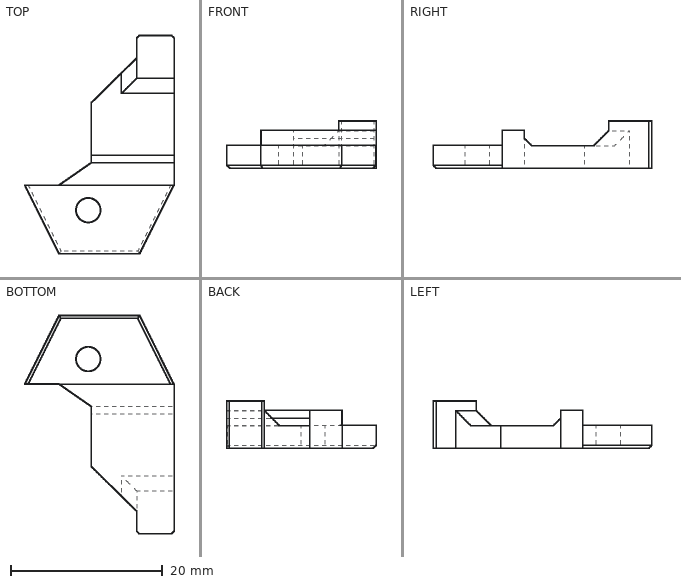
import cadquery as cq

plate_width = 19.7
plate_depth = 9.08
plate_height = 3.1
plate_inset = 4.53
rim_chamfer = 0.4
hole_diameter = 3.2
hole_x = 8.4
hole_y = 5.77

arm_right = 19.75
arm_left = 8.77
arm_height = 3.0
wall_back = 12.03
wall_height = 5.05
wall_left = plate_inset
wall_bevel = 0.98
slab_corner_y = 19.93
slab_end_y = 25.85
post_left = 14.77
post_front = 23.15
post_back = 28.85
post_height = 6.3
post_chamfer = 0.37
gusset_height = 5.0
gusset_run = gusset_height - arm_height


def make_plate():
    plate = (
        cq.Workplane("XY")
        .polyline([
            (plate_inset, 0),
            (plate_width - plate_inset, 0),
            (plate_width, plate_depth),
            (0, plate_depth),
        ])
        .close()
        .extrude(plate_height)
    )
    back_edge = cq.selectors.NearestToPointSelector((plate_width / 2, plate_depth, 0))
    rim = plate.faces("<Z").edges(cq.selectors.SubtractSelector(
        cq.selectors.TypeSelector("LINE"), back_edge))
    plate = rim.chamfer(rim_chamfer)
    hole = (
        cq.Workplane("XY")
        .center(hole_x, hole_y)
        .circle(hole_diameter / 2)
        .extrude(plate_height)
    )
    return plate.cut(hole)


def make_slab():
    return (
        cq.Workplane("XY")
        .polyline([
            (arm_left, wall_back),
            (arm_right, wall_back),
            (arm_right, slab_end_y),
            (post_left, slab_end_y),
            (arm_left, slab_corner_y),
        ])
        .close()
        .extrude(arm_height)
    )


def make_wall():
    wall = (
        cq.Workplane("XY")
        .polyline([
            (wall_left, plate_depth),
            (arm_right, plate_depth),
            (arm_right, wall_back),
            (arm_left, wall_back),
        ])
        .close()
        .extrude(wall_height)
    )
    bevel = (
        cq.Workplane("YZ", origin=(arm_left, 0, 0))
        .polyline([
            (wall_back, arm_height),
            (wall_back + wall_bevel, arm_height),
            (wall_back, arm_height + wall_bevel),
        ])
        .close()
        .extrude(arm_right - arm_left)
    )
    return wall.union(bevel)


def make_post():
    return (
        cq.Workplane("XY")
        .rect(arm_right - post_left, post_back - post_front)
        .extrude(post_height)
        .translate(((post_left + arm_right) / 2, (post_front + post_back) / 2, 0))
        .edges("|Z and >Y")
        .chamfer(post_chamfer)
    )


def make_gusset():
    front_slope = (
        cq.Workplane("YZ", origin=(post_left - gusset_run, 0, 0))
        .polyline([
            (post_front - gusset_run, arm_height),
            (slab_end_y, arm_height),
            (slab_end_y, gusset_height),
            (post_front, gusset_height),
        ])
        .close()
        .extrude(arm_right - post_left + gusset_run)
    )
    side_slope = (
        cq.Workplane("XZ")
        .polyline([
            (post_left - gusset_run, arm_height),
            (arm_right, arm_height),
            (arm_right, gusset_height),
            (post_left, gusset_height),
        ])
        .close()
        .extrude(-post_back)
    )
    slab_column = make_slab().faces("<Z").wires().toPending().extrude(gusset_height)
    return front_slope.intersect(side_slope).intersect(slab_column)


def make_arm():
    return make_slab().union(make_wall()).union(make_gusset()).union(make_post())


plate = make_plate()
arm = make_arm()

result = cq.Compound.makeCompound([plate.val(), arm.val()])